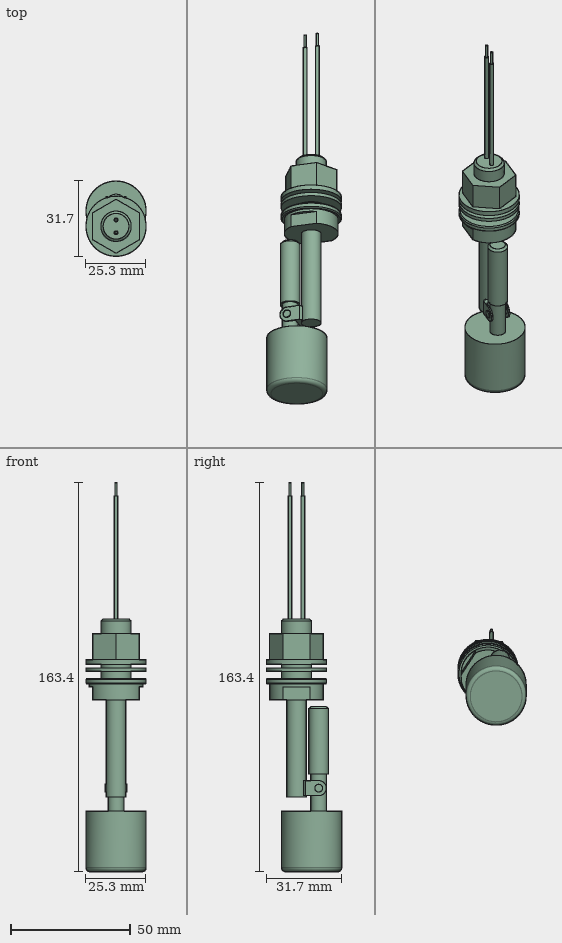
import cadquery as cq
import math


total_height = 163.4
disc_radius = 25.3 / 2

thread_radius = 6.4
thread_chamfer = 1.0
housing_top_z = 106.2
flange_top_z = 81.2
flange_thickness = 2.5
flange_chamfer = 0.5
across_flats = 19.6
collar_radius = across_flats / 2 / math.cos(math.radians(30))
collar_bottom_z = 72.2
flats_top_z = 77.6
stem_radius = 8.3 / 2
stem_bottom_z = 31.4

nut_top_z = 100.0
nut_bottom_z = 89.0
nut_washer_thickness = 2.0
loose_washer_top_z = 85.6
loose_washer_thickness = 1.5

arm_y = 9.3
arm_rod_radius = 6.7 / 2
arm_head_radius = stem_radius
arm_head_bottom_z = 41.0
arm_head_top_z = 69.5
arm_head_chamfer = 1.0

hinge_z = 35.1
bracket_height = 6.4
bracket_end_radius = bracket_height / 2
bracket_half_width = stem_radius
bracket_flank_end_y = 3.8
bracket_root_y = 3.0
bracket_root_half_width = math.sqrt(stem_radius**2 - bracket_root_y**2)
slot_clearance = 0.2
slot_half_width = arm_rod_radius + slot_clearance
pin_radius = 1.6
pin_length = 9.3

float_y = 6.4
float_height = 25.5
float_fillet = 1.8

wire_spacing = 5.4
insulation_radius = 0.8
insulation_top_z = 157.7
conductor_radius = 0.5


def cylinder(radius, bottom_z, top_z, y=0.0):
    """Upright cylinder centred at X = 0."""
    return cq.Workplane("XY", origin=(0, y, bottom_z)).circle(radius).extrude(top_z - bottom_z)


def hinge_cylinder(radius, length):
    """Cylinder along the hinge axis, centred at X = 0."""
    return cq.Workplane("YZ", origin=(-length / 2, arm_y, hinge_z)).circle(radius).extrude(length)


def make_hinge_pin():
    return hinge_cylinder(pin_radius, pin_length)


def make_bracket():
    """Forked bracket: tapered at the stem, rounded at the hinge, slotted for the arm."""
    block = (
        cq.Workplane("XY", origin=(0, 0, hinge_z - bracket_height / 2))
        .moveTo(-bracket_root_half_width, bracket_root_y)
        .lineTo(-bracket_half_width, bracket_flank_end_y)
        .lineTo(-bracket_half_width, arm_y)
        .lineTo(bracket_half_width, arm_y)
        .lineTo(bracket_half_width, bracket_flank_end_y)
        .lineTo(bracket_root_half_width, bracket_root_y)
        .close()
        .extrude(bracket_height)
    )
    rounded_end = hinge_cylinder(bracket_end_radius, 2 * bracket_half_width)
    slot_length = slot_half_width + bracket_end_radius
    slot = (
        cq.Workplane("XY", origin=(0, arm_y - slot_half_width, hinge_z))
        .box(2 * slot_half_width, slot_length, bracket_height, centered=(True, False, True))
    )
    return block.union(rounded_end).cut(slot)


def make_housing():
    flange_bottom_z = flange_top_z - flange_thickness
    neck = cylinder(thread_radius, flange_top_z, housing_top_z).faces(">Z").chamfer(thread_chamfer)
    flange = cylinder(disc_radius, flange_bottom_z, flange_top_z).edges().chamfer(flange_chamfer)
    collar = cylinder(collar_radius, flats_top_z, flange_bottom_z)
    flats = cylinder(collar_radius, collar_bottom_z, flats_top_z).intersect(
        cq.Workplane("XY", origin=(0, 0, collar_bottom_z))
        .rect(across_flats, 2 * collar_radius)
        .extrude(flats_top_z - collar_bottom_z)
    )
    stem = cylinder(stem_radius, stem_bottom_z, collar_bottom_z)
    body = neck.union(flange).union(collar).union(flats).union(stem)
    return body.union(make_bracket()).cut(make_hinge_pin())


def make_nut():
    """Hexagon nut with flats facing +X and -X."""
    return (
        cq.Workplane("XY", origin=(0, 0, nut_bottom_z))
        .polygon(6, across_flats, circumscribed=True)
        .circle(thread_radius)
        .extrude(nut_top_z - nut_bottom_z)
    )


def make_washer(top_z, thickness):
    return (
        cq.Workplane("XY", origin=(0, 0, top_z - thickness))
        .circle(disc_radius)
        .circle(thread_radius)
        .extrude(thickness)
    )


def make_arm():
    """Rod standing on the float, with a thicker head above the hinge."""
    rod = cylinder(arm_rod_radius, float_height, arm_head_bottom_z, arm_y)
    head = cylinder(arm_head_radius, arm_head_bottom_z, arm_head_top_z, arm_y)
    return rod.union(head.faces(">Z").chamfer(arm_head_chamfer)).cut(make_hinge_pin())


def make_float():
    return cylinder(disc_radius, 0, float_height, float_y).faces("<Z").edges().fillet(float_fillet)


def make_wire(y):
    """Insulated wire with a stripped end, standing on the housing top."""
    insulation = cylinder(insulation_radius, housing_top_z, insulation_top_z, y)
    return insulation.union(cylinder(conductor_radius, insulation_top_z, total_height, y))


housing = make_housing()
nut = make_nut()
nut_washer = make_washer(nut_bottom_z, nut_washer_thickness)
loose_washer = make_washer(loose_washer_top_z, loose_washer_thickness)
arm = make_arm()
hinge_pin = make_hinge_pin()
switch_float = make_float()
wires = [make_wire(side * wire_spacing / 2) for side in (-1, 1)]

result = cq.Compound.makeCompound([
    housing.val(),
    nut.val(),
    nut_washer.val(),
    loose_washer.val(),
    arm.val(),
    hinge_pin.val(),
    switch_float.val(),
    *[wire.val() for wire in wires],
])